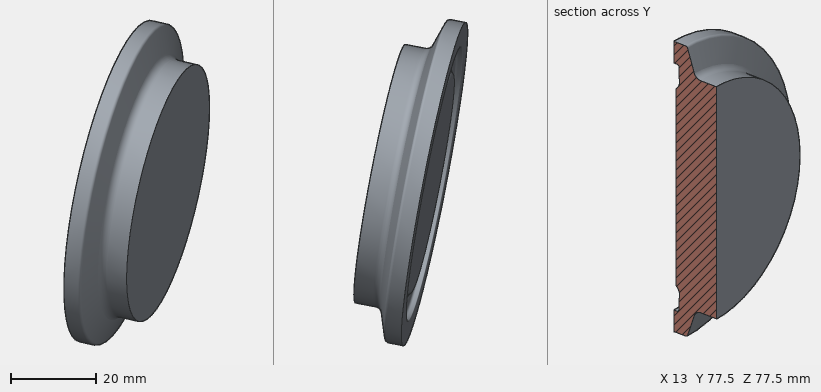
import cadquery as cq
import math

total_length = 13.0
flange_radius = 38.75
hub_radius = 31.0

rim_width = 3.6
rim_round_width = 0.7
rim_round_drop = 0.5
rim_round_mid = (rim_width + 0.5, flange_radius - 0.15)
cone_end = (6.35, 32.2)
neck_mid = (7.1, 31.3)
hub_start_x = 8.3

seat_depth = 1.55
seat_wall_radius = 32.85
seat_edge_round = 0.15
seat_corner_fillet = 0.55
seat_inner_radius = 29.5

groove_outer_radius = 29.2
groove_inner_radius = 26.5
disc_radius = 25.8
entry_angle = math.radians(15)
exit_angle = math.radians(45)


def back_profile():
    """Outline from the front of the rim, over the cone and hub, to the axis."""
    return (
        cq.Workplane("XY")
        .moveTo(0, flange_radius)
        .lineTo(rim_width, flange_radius)
        .threePointArc(rim_round_mid, (rim_width + rim_round_width, flange_radius - rim_round_drop))
        .lineTo(*cone_end)
        .threePointArc(neck_mid, (hub_start_x, hub_radius))
        .lineTo(total_length, hub_radius)
        .lineTo(total_length, 0)
    )


def full_profile():
    """Close the outline along the front face, from the axis out to the seat wall."""
    groove_width = groove_outer_radius - groove_inner_radius
    groove_turn = groove_width / (math.sin(entry_angle) + math.sin(exit_angle))
    lip_turn = (seat_inner_radius - groove_outer_radius) / math.sin(entry_angle)
    disc_turn = (groove_inner_radius - disc_radius) / math.sin(exit_angle)

    groove_start_x = seat_depth + lip_turn * (1 - math.cos(entry_angle))
    groove_end_x = groove_start_x - groove_turn * (math.cos(entry_angle) - math.cos(exit_angle))
    disc_x = groove_end_x - disc_turn * (1 - math.cos(exit_angle))

    groove_centre_x = groove_start_x - groove_turn * math.cos(entry_angle)
    groove_centre_radius = groove_outer_radius - groove_turn * math.sin(entry_angle)
    groove_bottom = (groove_centre_x + groove_turn, groove_centre_radius)

    half_exit = exit_angle / 2
    disc_edge_mid = (
        disc_x + disc_turn * (1 - math.cos(half_exit)),
        disc_radius + disc_turn * math.sin(half_exit),
    )
    half_entry = entry_angle / 2
    lip_mid = (
        seat_depth + lip_turn * (1 - math.cos(half_entry)),
        seat_inner_radius - lip_turn * math.sin(half_entry),
    )
    diagonal = 1 - math.sqrt(0.5)
    corner_mid = (
        seat_depth - seat_corner_fillet * diagonal,
        seat_wall_radius - seat_corner_fillet * diagonal,
    )
    edge_mid = (
        seat_edge_round * diagonal,
        seat_wall_radius + seat_edge_round * diagonal,
    )
    return (
        back_profile()
        .lineTo(disc_x, 0)
        .lineTo(disc_x, disc_radius)
        .threePointArc(disc_edge_mid, (groove_end_x, groove_inner_radius))
        .threePointArc(groove_bottom, (groove_start_x, groove_outer_radius))
        .threePointArc(lip_mid, (seat_depth, seat_inner_radius))
        .lineTo(seat_depth, seat_wall_radius - seat_corner_fillet)
        .threePointArc(corner_mid, (seat_depth - seat_corner_fillet, seat_wall_radius))
        .lineTo(seat_edge_round, seat_wall_radius)
        .threePointArc(edge_mid, (0, seat_wall_radius + seat_edge_round))
        .close()
    )


result = full_profile().revolve(360, (0, 0, 0), (1, 0, 0))